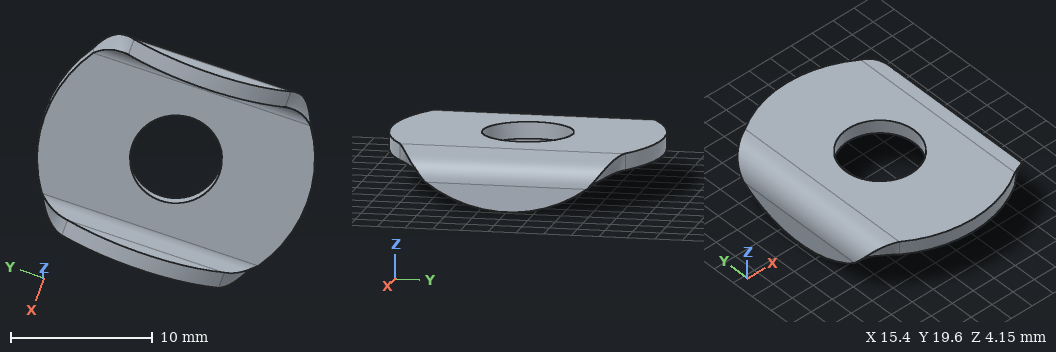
import cadquery as cq
import math

blank_radius = 9.82
hole_diameter = 6.5
thickness = 1.22
half_width = 7.705
height = 4.15
outer_bend_radius = 2.2

inner_bend_radius = outer_bend_radius - thickness
bend_x = half_width - outer_bend_radius
tab_length = height - outer_bend_radius

bend_length = blank_radius - bend_x - tab_length

trim_margin = 0.2
bend_steps = 16


def make_web():
    disc = cq.Workplane("XY").circle(blank_radius).extrude(-thickness)
    strip = cq.Workplane("XY").box(2 * bend_x, 2 * blank_radius, 2 * thickness)
    return disc.intersect(strip)


def bend_edge(radius, side):
    """Edge of the blank wrapped around the bend axis at the given radius."""
    points = []
    for step in range(bend_steps + 1):
        fraction = step / bend_steps
        angle = fraction * math.pi / 2
        x = bend_x + radius * math.sin(angle)
        y = side * math.sqrt(blank_radius**2 - (bend_x + fraction * bend_length) ** 2)
        z = -outer_bend_radius + radius * math.cos(angle)
        points.append(cq.Vector(x, y, z))
    return cq.Edge.makeSpline(points)


def make_bend_envelope():
    """Solid whose two ends follow the wrapped blank outline, thicker than the sheet."""
    inner_radius = inner_bend_radius - trim_margin
    outer_radius = outer_bend_radius + trim_margin
    edges = [
        bend_edge(inner_radius, -1),
        bend_edge(outer_radius, -1),
        bend_edge(outer_radius, 1),
        bend_edge(inner_radius, 1),
    ]
    faces = [cq.Face.makeRuledSurface(edges[i - 1], edges[i]) for i in range(len(edges))]
    for end in (0, 1):
        corners = [edge.positionAt(end) for edge in edges]
        faces.append(cq.Face.makeFromWires(cq.Wire.makePolygon(corners, close=True)))
    return cq.Workplane(cq.Solid.makeSolid(cq.Shell.makeShell(faces)).fix())


def make_bend():
    diagonal = math.sqrt(0.5)
    sector = (
        cq.Workplane("XZ", origin=(bend_x, 0, -outer_bend_radius))
        .moveTo(0, inner_bend_radius)
        .lineTo(0, outer_bend_radius)
        .threePointArc(
            (outer_bend_radius * diagonal, outer_bend_radius * diagonal),
            (outer_bend_radius, 0),
        )
        .lineTo(inner_bend_radius, 0)
        .threePointArc(
            (inner_bend_radius * diagonal, inner_bend_radius * diagonal),
            (0, inner_bend_radius),
        )
        .close()
        .extrude(blank_radius, both=True)
    )
    return sector.intersect(make_bend_envelope())


def make_tab():
    half_chord = math.sqrt(blank_radius**2 - (blank_radius - tab_length) ** 2)
    return (
        cq.Workplane("YZ", origin=(half_width - thickness, 0, 0))
        .moveTo(-half_chord, -outer_bend_radius)
        .threePointArc((0, -height), (half_chord, -outer_bend_radius))
        .close()
        .extrude(thickness)
    )


flange = make_bend().union(make_tab())
hole = cq.Workplane("XY").circle(hole_diameter / 2).extrude(-thickness)

result = make_web().union(flange).union(flange.mirror("YZ")).cut(hole)